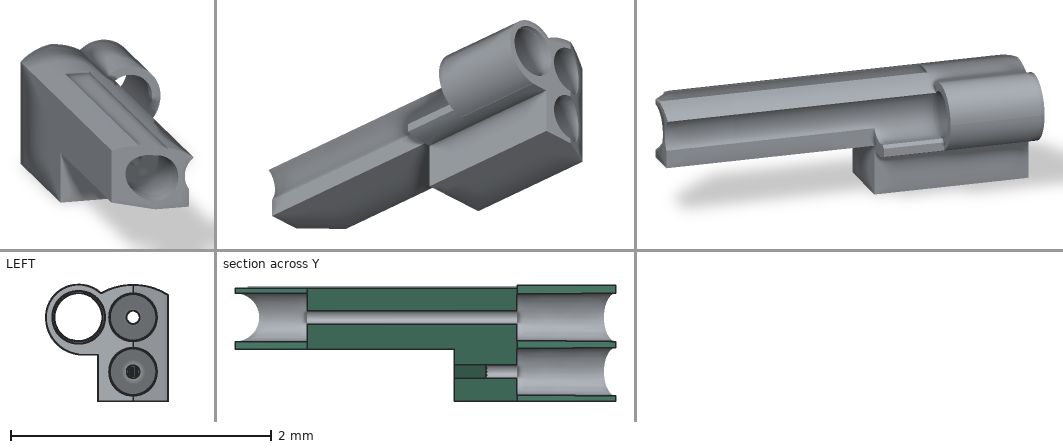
import cadquery as cq
import math

head_end = 0.76
step_end = 1.245
tip_start = 2.375
total_length = 2.926

bore_pitch = 0.418
bore_diameter = 0.37
bore_floor_diameter = 0.355
trough_diameter = 0.362
core_diameter = 0.1

half_width = 0.27
crown_radius = 0.50
crown_top = 0.25
crown_center_z = crown_top - crown_radius
head_bottom = -0.645
rail_bottom = -0.247
shelf_bottom = -0.288
barrel_radius = 0.2525
barrel_side = bore_pitch + barrel_radius
belly_radius = -shelf_bottom
belly_y = barrel_side - belly_radius

cradle_side = 0.507
cradle_edge_y = 0.471
cradle_edge_drop = 0.02
cradle_corner_z = -math.sqrt(belly_radius**2 - (cradle_side - belly_y) ** 2)

groove_width = 0.195
groove_floor = 0.226

head_bevel_length = half_width / 2
tip_bevel_length = half_width

mouth_diameter = 0.408
mouth_depth = 0.04
barrel_bore_diameter = 0.402
lip_length = 0.1
lip_start = head_end - lip_length

plug_start = 1.0
peg_size = 0.014
peg_pitch = 0.0265
peg_height = 0.01
pegs_per_side = 3


def block(x_range, y_range, z_range):
    """Box between two corners given as (low, high) pairs."""
    sizes = [high - low for low, high in (x_range, y_range, z_range)]
    corner = (x_range[0], y_range[0], z_range[0])
    return cq.Workplane("XY").box(*sizes, centered=False).translate(corner)


def rod(x_start, x_end, diameter, y=0.0, z=0.0):
    """Cylinder along X."""
    return cq.Workplane("YZ", origin=(x_start, y, z)).circle(diameter / 2).extrude(x_end - x_start)


def crowned_block(x_start, x_end, y_max, bottom):
    """Block under the crown arc, from the flat -Y side to y_max."""
    slab = block((x_start, x_end), (-half_width, y_max), (bottom, crown_top))
    return slab.intersect(rod(x_start, x_end, 2 * crown_radius, z=crown_center_z))


def side_bore(x_start, x_end, diameter):
    """Cylinder on the axis of the side bore."""
    return rod(x_start, x_end, diameter, y=bore_pitch)


def bevel_cutter(x_face, x_side):
    """Wedge that bevels an end from y = 0 on the end face to the -Y side."""
    corners = [(x_face, 0), (x_side, -half_width), (x_face, -half_width)]
    height = crown_top - head_bottom
    return cq.Workplane("XY", origin=(0, 0, head_bottom)).polyline(corners).close().extrude(height)


def tapered_bore_cutter(z):
    """Head bore that narrows slightly from the end face to its floor."""
    mouth = cq.Workplane("YZ", origin=(0, 0, z)).circle(bore_diameter / 2)
    return mouth.workplane(offset=head_end).circle(bore_floor_diameter / 2).loft(ruled=True)


def make_barrel():
    """Housing of the side bore: a half round above and a wider quarter round, the belly, below."""
    outline = (
        cq.Workplane("YZ")
        .moveTo(0, shelf_bottom)
        .lineTo(belly_y, shelf_bottom)
        .radiusArc((barrel_side, 0), -belly_radius)
        .threePointArc((bore_pitch, barrel_radius), (bore_pitch - barrel_radius, 0))
        .lineTo(0, 0)
        .close()
    )
    return outline.extrude(head_end)


def make_head():
    crown = crowned_block(0, head_end, bore_pitch, shelf_bottom)
    base = block((0, head_end), (-half_width, half_width), (head_bottom, shelf_bottom))
    body = crown.union(base).union(make_barrel())
    for z in (0, -bore_pitch):
        body = body.cut(tapered_bore_cutter(z))
    body = body.cut(side_bore(0, mouth_depth, mouth_diameter))
    body = body.cut(side_bore(0, lip_start, barrel_bore_diameter))
    body = body.cut(side_bore(0, head_end, bore_diameter))
    return body.cut(bevel_cutter(0, head_bevel_length))


def make_cradle():
    """Shelf under the side bore, with its outer corner rounded like the barrel's belly."""
    edge_z = -math.sqrt((trough_diameter / 2) ** 2 - (cradle_edge_y - bore_pitch) ** 2)
    outline = (
        cq.Workplane("YZ", origin=(head_end, 0, 0))
        .moveTo(0, shelf_bottom)
        .lineTo(belly_y, shelf_bottom)
        .radiusArc((cradle_side, cradle_corner_z), -belly_radius)
        .lineTo(cradle_side, edge_z - cradle_edge_drop)
        .lineTo(cradle_edge_y, edge_z)
        .lineTo(bore_pitch, edge_z)
        .lineTo(half_width, 0)
        .lineTo(0, 0)
        .close()
    )
    return outline.extrude(step_end - head_end)


def make_rail(x_start, x_end):
    """Grooved rail whose crown runs out into the trough behind the side bore."""
    crown = crowned_block(x_start, x_end, bore_pitch, 0)
    base = block((x_start, x_end), (-half_width, half_width), (rail_bottom, 0))
    groove = block((x_start, x_end), (-groove_width / 2, groove_width / 2), (groove_floor, crown_top))
    return crown.union(base).cut(groove).cut(side_bore(x_start, x_end, trough_diameter))


def make_arm():
    arm = make_rail(head_end, tip_start)
    step = block((head_end, step_end), (-half_width, half_width), (head_bottom, rail_bottom))
    arm = arm.union(step).union(make_cradle())
    arm = arm.cut(side_bore(head_end, step_end, trough_diameter))
    arm = arm.cut(rod(head_end, tip_start, core_diameter))
    return arm.cut(rod(head_end, step_end, core_diameter, z=-bore_pitch))


def make_plug():
    """Plug that closes the lower core bore, with a grid of square pegs on its face."""
    plug = rod(plug_start, step_end, core_diameter, z=-bore_pitch)
    pegs = (
        cq.Workplane("YZ", origin=(plug_start, 0, -bore_pitch))
        .rarray(peg_pitch, peg_pitch, pegs_per_side, pegs_per_side)
        .rect(peg_size, peg_size)
        .extrude(-peg_height)
    )
    return plug.union(pegs)


def make_tip():
    tip = make_rail(tip_start, total_length)
    tip = tip.cut(rod(tip_start, total_length, bore_diameter))
    return tip.cut(bevel_cutter(total_length, total_length - tip_bevel_length))


head = make_head()
arm = make_arm()
plug = make_plug()
tip = make_tip()
result = cq.Compound.makeCompound([head.val(), arm.val(), plug.val(), tip.val()])